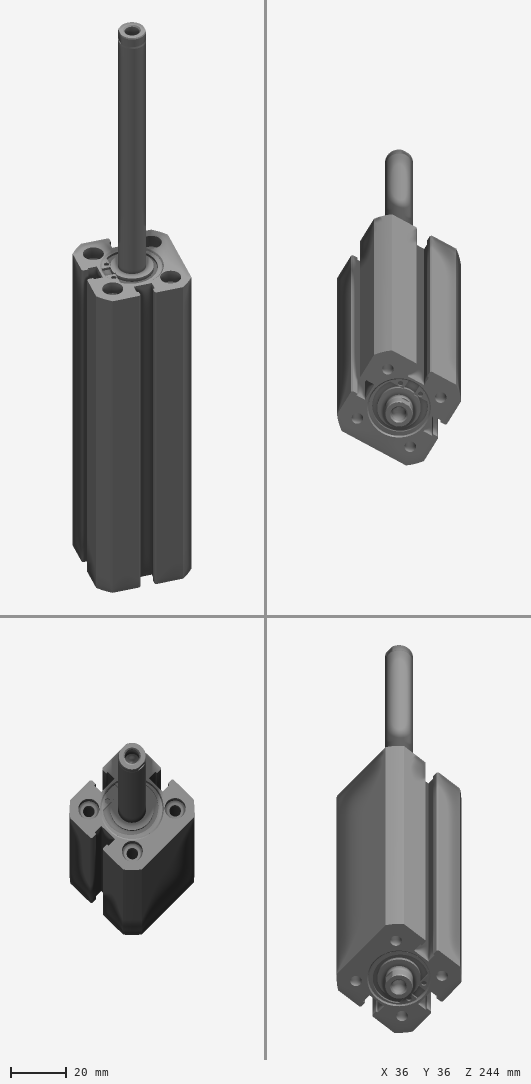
import cadquery as cq
import math

WIDTH = 36.0
HALF = WIDTH / 2
HOUSING_LENGTH = 131.5
CORNER_RADIUS = 22.5
BORE_RADIUS = 11.0
BORE_CHAMFER = 0.5

SLOT_DEPTH = 5.9
SLOT_LIP = 2.5
SLOT_MOUTH_WIDTH = 5.4
SLOT_INNER_WIDTH = 6.8
SLOT_EDGE_CHAMFER = 0.5
SLOT_ANGLES = (0, 180, 270)

BOLT_OFFSET = 11.0
BOLT_HOLE_DIAMETER = 4.1
COUNTERBORE_DIAMETER = 7.5
COUNTERBORE_DEPTH = 5.0

TOTAL_LENGTH = 244.0
ROD_RADIUS = 5.1
ROD_BELOW = 6.3
TIP_INSET = 0.12
TIP_RADIUS = ROD_RADIUS - TIP_INSET
TIP_LENGTH = 4.0
TIP_STEP = 0.7
TIP_CHAMFER = 0.5
TIP_CHAMFER_WIDTH = 0.2
FLATS_WIDTH = 9.3
ROD_HOLE_RADIUS = 2.7
ROD_HOLE_DEPTH = 9.8
ROD_HOLE_CHAMFER = 0.5
DRILL_POINT_ANGLE = 118

COLLAR_LENGTH = 9.8
BOSS_RADIUS = 7.8

RING_INNER_RADIUS = 10.0
RING_INNER_SHIFT = -0.7
RING_THICKNESS = 1.0
RING_DEPTH = 0.5
RING_GAP = 4.5
EAR_TOP = 7.0
EAR_HOLE_RADIUS = 1.0
EAR_HOLE_X = 4.1
EAR_HOLE_Y = -8.3
BOSS_HEIGHT = RING_DEPTH + RING_THICKNESS


def disc(radius, bottom, height):
    return cq.Workplane("XY").workplane(offset=bottom).circle(radius).extrude(height)


def at_other_end(body):
    """Copy of a top-end body for the bottom end of the housing."""
    return body.mirror("XY", (0, 0, HOUSING_LENGTH / 2))


def slot():
    """T-shaped switch slot in the +X face, with a bevelled mouth."""
    mouth = cq.Workplane("XY").box(
        SLOT_LIP, SLOT_MOUTH_WIDTH, HOUSING_LENGTH, centered=(False, True, False)
    ).translate((HALF - SLOT_LIP, 0, 0))
    mouth_half = SLOT_MOUTH_WIDTH / 2
    flare = (
        cq.Workplane("XY")
        .moveTo(HALF - SLOT_EDGE_CHAMFER, mouth_half)
        .lineTo(HALF, mouth_half + SLOT_EDGE_CHAMFER)
        .lineTo(HALF, -mouth_half - SLOT_EDGE_CHAMFER)
        .lineTo(HALF - SLOT_EDGE_CHAMFER, -mouth_half)
        .close()
        .extrude(HOUSING_LENGTH)
    )
    inner_depth = SLOT_DEPTH - SLOT_LIP
    inner = cq.Workplane("XY").box(
        inner_depth, SLOT_INNER_WIDTH, HOUSING_LENGTH, centered=(False, True, False)
    ).translate((HALF - SLOT_DEPTH, 0, 0))
    return mouth.union(flare).union(inner)


def bore_countersink(end, height):
    """Cone that bevels the bore mouth at one end of the housing."""
    return (
        cq.Workplane("XY").workplane(offset=end).circle(BORE_RADIUS + BORE_CHAMFER)
        .workplane(offset=height).circle(BORE_RADIUS).loft()
    )


def make_housing():
    body = cq.Workplane("XY").rect(WIDTH, WIDTH).extrude(HOUSING_LENGTH)
    body = body.intersect(disc(CORNER_RADIUS, 0, HOUSING_LENGTH))
    body = body.cut(disc(BORE_RADIUS, 0, HOUSING_LENGTH))
    for end, inward in ((0, 1), (HOUSING_LENGTH, -1)):
        body = body.cut(bore_countersink(end, inward * BORE_CHAMFER))
    for angle in SLOT_ANGLES:
        body = body.cut(slot().rotate((0, 0, 0), (0, 0, 1), angle))
    return (
        body.faces(">Z").workplane(origin=(0, 0, HOUSING_LENGTH))
        .rect(2 * BOLT_OFFSET, 2 * BOLT_OFFSET, forConstruction=True).vertices()
        .cboreHole(BOLT_HOLE_DIAMETER, COUNTERBORE_DIAMETER, COUNTERBORE_DEPTH)
    )


def make_rod():
    """Rod with a drilled and flatted tip at both ends."""
    half_length = TOTAL_LENGTH / 2
    tip_base = half_length - TIP_LENGTH
    hole_bottom = half_length - ROD_HOLE_DEPTH
    point = ROD_HOLE_RADIUS / math.tan(math.radians(DRILL_POINT_ANGLE / 2))
    half_section = (
        cq.Workplane("XZ")
        .lineTo(ROD_RADIUS, 0)
        .lineTo(ROD_RADIUS, tip_base - TIP_STEP)
        .lineTo(TIP_RADIUS, tip_base)
        .lineTo(TIP_RADIUS, half_length - TIP_CHAMFER)
        .lineTo(TIP_RADIUS - TIP_CHAMFER_WIDTH, half_length)
        .lineTo(ROD_HOLE_RADIUS + ROD_HOLE_CHAMFER, half_length)
        .lineTo(ROD_HOLE_RADIUS, half_length - ROD_HOLE_CHAMFER)
        .lineTo(ROD_HOLE_RADIUS, hole_bottom)
        .lineTo(0, hole_bottom - point)
        .close()
    )
    half_rod = half_section.revolve(360, (0, 0, 0), (0, 1, 0))
    for side in (1, -1):
        waste = cq.Workplane("XY").box(2 * ROD_RADIUS, ROD_RADIUS, TIP_LENGTH, centered=(True, True, False))
        half_rod = half_rod.cut(waste.translate((0, side * (FLATS_WIDTH + ROD_RADIUS) / 2, tip_base)))
    rod = half_rod.union(half_rod.mirror("XY"))
    return rod.translate((0, 0, half_length - ROD_BELOW))


def ring_gap(bottom, height):
    """Block cut from the ring to open it towards -Y."""
    return cq.Workplane("XY").box(
        RING_GAP, BORE_RADIUS, height, centered=(True, False, False)
    ).translate((0, -BORE_RADIUS, bottom))


def ears(bottom, height):
    """Two ring ears beside the gap, cut off straight on the inside."""
    ear_plate = disc(BORE_RADIUS, bottom, height)
    above = cq.Workplane("XY").box(
        2 * BORE_RADIUS, 2 * BORE_RADIUS, height, centered=(True, False, False)
    ).translate((0, -EAR_TOP, bottom))
    return ear_plate.cut(above).cut(ring_gap(bottom, height))


def make_collar():
    """Top collar, with its boss notched for the ring ears."""
    shoulder = HOUSING_LENGTH - BOSS_HEIGHT
    collar = disc(BORE_RADIUS, HOUSING_LENGTH - COLLAR_LENGTH, COLLAR_LENGTH - BOSS_HEIGHT)
    boss = disc(BOSS_RADIUS, shoulder, BOSS_HEIGHT).cut(ears(shoulder, BOSS_HEIGHT))
    return collar.union(boss).cut(disc(ROD_RADIUS, 0, HOUSING_LENGTH))


def make_ring():
    """Top retaining ring, resting on the collar shoulder."""
    bottom = HOUSING_LENGTH - BOSS_HEIGHT
    inside = disc(RING_INNER_RADIUS, bottom, RING_THICKNESS).translate((0, RING_INNER_SHIFT, 0))
    ring = disc(BORE_RADIUS, bottom, RING_THICKNESS).cut(inside)
    ring = ring.cut(ring_gap(bottom, RING_THICKNESS)).union(ears(bottom, RING_THICKNESS))
    for side in (1, -1):
        hole = disc(EAR_HOLE_RADIUS, bottom, RING_THICKNESS)
        ring = ring.cut(hole.translate((side * EAR_HOLE_X, EAR_HOLE_Y, 0)))
    return ring


housing = make_housing()
rod = make_rod()
top_collar = make_collar()
top_ring = make_ring()
bottom_collar = at_other_end(top_collar)
bottom_ring = at_other_end(top_ring)

result = cq.Compound.makeCompound([
    housing.val(),
    rod.val(),
    top_collar.val(),
    bottom_collar.val(),
    top_ring.val(),
    bottom_ring.val(),
])